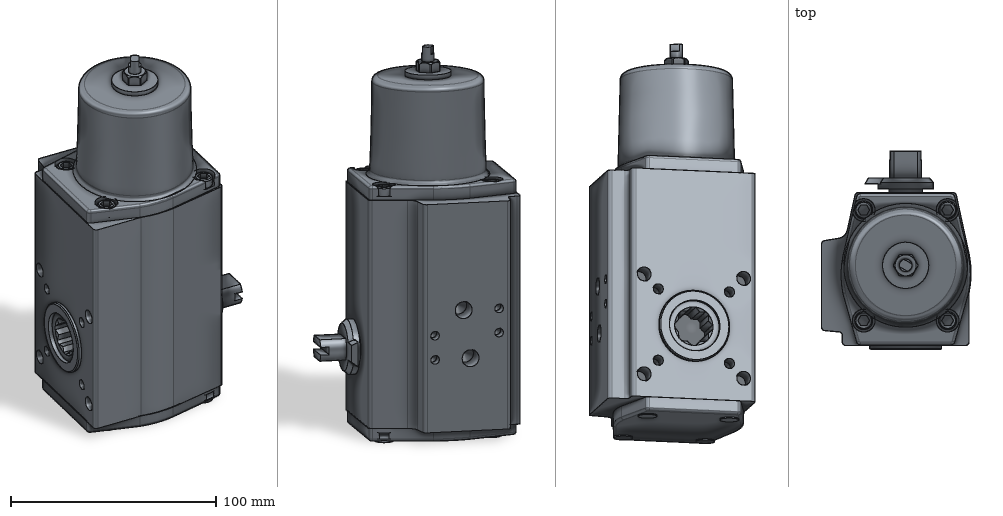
import cadquery as cq
import math


body_bottom = 7.3
body_top = 120.5
bottom_plate_base = 0.5
top_plate_top = 127.5
overall_height = 190.8

body_front = -39.1
body_back = 35.5
body_half_width = 31.0
body_bulge_x = 31.9
back_corner_x = 24.5
bulge_start_y = -13.4
bulge_stop = (31.1, 4.5)
pad_x = -41.0
pad_front_y = -31.7
pad_back_y = 11.8
pad_root_x = -32.8
pad_root_front_y = -32.5
pad_root_back_y = 13.2
front_hollow_middle = (-31.5, -32.8)
front_hollow_end_y = -34.0
back_hollow_middle = (-30.0, 14.5)
back_hollow_end = (-28.5, 17.2)
corner_radius = 2.0

plate_front = -38.7
plate_back = 35.0
plate_corner_half_width = 23.5
plate_bulge_x = 31.5
bulge_y = -4.5
bulge_half_length = 9.2
bulge_end_x = 30.5
plate_edge_radius = 1.3

screw_x = 20.5
screw_y = 26.9
screw_bore_radius = 5.5
screw_bore_depth = 5.2
top_head_radius = 4.4
top_head_drop = 0.8
top_head_chamfer = 0.5
hex_socket_size = 5.7
hex_socket_depth = 2.7
bottom_head_radius = 4.5
bottom_bore_radius = 5.3
bottom_bore_base = 2.0
bottom_bore_top = 5.0

flare_radius = 30.1
flare_height = 2.3
flare_middle = 0.35
cap_base_radius = 28.5
cap_top_radius = 27.3
cap_top = 176.3
cap_edge_radius = 2.9
washer_radius = 11.3
washer_top = 178.5
nut_corner_diameter = 12.2
nut_round_radius = 6.0
nut_chamfer = 0.8
nut_top = 183.5
stem_radius = 3.0
stem_flat_distance = 2.1
stem_flat_height = 3.6
stem_flat_angle = 60

shaft_z = 43.3
boss_radius = 17.5
boss_front = -41.0
boss_chamfer = 0.5
recess_radius = 12.5
recess_depth = 2.1
star_tip_radius = 9.5
star_flat_distance = 7.5
star_depth = 19.0
lead_in_depth = 1.1
shaft_end = 55.5
shaft_radius = 7.8
shaft_flat_half = 5.3
slot_width = 3.8
slot_depth = 4.2
collar_radius = 8.2
disk_radius = 13.5
disk_front = 37.2
disk_rim_back = 40.3
disk_back = 42.5
disk_back_radius = 11.6
pointer_front = 39.7
pointer_tip_x = -19.8
pointer_half_width = 6.1
pointer_taper = 31

drill_point_angle = 118
inner_offset = 17.7
inner_hole_radius = 2.5
inner_hole_depth = 9.5
outer_offset = 24.8
outer_hole_radius = 3.5
outer_hole_depth = 11.5
port_radius = 4.2
port_depth = 11.5
port_spacing = 24.0
upper_port_y = -8.0
lower_port_y = -11.5
side_hole_radius = 2.1
side_hole_depth = 5.7
side_hole_front_y = -25.8
side_hole_back_y = 6.3

overlap = 1.0


def cylinder_y(radius, start, end):
    """Round bar along Y, centred on the drive shaft axis."""
    plane = cq.Workplane("XZ", origin=(0, start, shaft_z))
    return plane.circle(radius).extrude(start - end)


def drill(mouth, direction, radius, depth):
    """Blind drilled hole with a conical end."""
    tip_length = radius / math.tan(math.radians(drill_point_angle / 2))
    axis = cq.Vector(*direction)
    barrel = cq.Solid.makeCylinder(radius, depth, cq.Vector(*mouth), axis)
    tip = cq.Solid.makeCone(radius, 0, tip_length, cq.Vector(*mouth) + axis * depth, axis)
    return barrel.fuse(tip)


def make_body():
    """Constant section with a connection pad on the -X side."""
    outline = (
        cq.Workplane("XY", origin=(0, 0, body_bottom))
        .moveTo(-body_half_width, body_front)
        .lineTo(body_half_width, body_front)
        .lineTo(body_half_width, bulge_start_y)
        .threePointArc((body_bulge_x, bulge_y), bulge_stop)
        .lineTo(back_corner_x, body_back)
        .lineTo(-back_corner_x, body_back)
        .lineTo(*back_hollow_end)
        .threePointArc(back_hollow_middle, (pad_root_x, pad_root_back_y))
        .lineTo(pad_x, pad_back_y)
        .lineTo(pad_x, pad_front_y)
        .lineTo(pad_root_x, pad_root_front_y)
        .threePointArc(front_hollow_middle, (-body_half_width, front_hollow_end_y))
        .close()
    )
    body = outline.extrude(body_top - body_bottom)
    corners = [
        (-body_half_width, body_front),
        (body_half_width, body_front),
        (back_corner_x, body_back),
        (-back_corner_x, body_back),
        (pad_x, pad_back_y),
        (pad_x, pad_front_y),
    ]
    for x, y in corners:
        nearest = cq.selectors.NearestToPointSelector((x, y, (body_top + body_bottom) / 2))
        body = body.edges("|Z").edges(nearest).fillet(corner_radius)
    return body


def make_plate(base, thickness, rounded_face):
    """End plate with sloping sides that swell into an arc."""
    plate = (
        cq.Workplane("XY", origin=(0, 0, base))
        .moveTo(-plate_corner_half_width, plate_front)
        .lineTo(plate_corner_half_width, plate_front)
        .lineTo(bulge_end_x, bulge_y - bulge_half_length)
        .threePointArc((plate_bulge_x, bulge_y), (bulge_end_x, bulge_y + bulge_half_length))
        .lineTo(plate_corner_half_width, plate_back)
        .lineTo(-plate_corner_half_width, plate_back)
        .lineTo(-bulge_end_x, bulge_y + bulge_half_length)
        .threePointArc((-plate_bulge_x, bulge_y), (-bulge_end_x, bulge_y - bulge_half_length))
        .close()
        .extrude(thickness)
    )
    corners = plate.edges("|Z and >Y").add(plate.edges("|Z and <Y"))
    plate = plate.newObject(corners.vals()).fillet(corner_radius)
    return plate.faces(rounded_face).edges().fillet(plate_edge_radius)


def at_screws(base):
    """Workplane with a point at each of the four plate screws."""
    plane = cq.Workplane("XY", origin=(0, 0, base))
    return plane.rect(2 * screw_x, 2 * screw_y, forConstruction=True).vertices()


def make_top_plate():
    """Top plate with four socket-head screws in counterbores."""
    plate = make_plate(body_top, top_plate_top - body_top, ">Z")
    bore_floor = top_plate_top - screw_bore_depth
    head_top = top_plate_top - top_head_drop
    plate = plate.cut(at_screws(bore_floor).circle(screw_bore_radius).extrude(screw_bore_depth))
    heads = at_screws(bore_floor).circle(top_head_radius).extrude(head_top - bore_floor)
    plate = plate.union(heads.faces(">Z").edges().chamfer(top_head_chamfer))
    return plate.cut(at_screws(head_top).polygon(6, hex_socket_size).extrude(-hex_socket_depth))


def make_bottom_plate():
    """Bottom plate with four screw heads; two short bores break out through the sides."""
    plate = make_plate(bottom_plate_base, body_bottom - bottom_plate_base, "<Z")
    bores = (
        cq.Workplane("XY", origin=(0, 0, bottom_bore_base))
        .pushPoints([(-screw_x, screw_y), (screw_x, screw_y)])
        .circle(bottom_bore_radius)
        .extrude(bottom_bore_top - bottom_bore_base)
    )
    heads = at_screws(0).circle(bottom_head_radius).extrude(bottom_bore_base)
    return plate.cut(bores).union(heads)


def make_spring_cap():
    """Tapered cap, washer, nut and adjusting stem."""
    flare_width = flare_radius - cap_base_radius
    cap = (
        cq.Workplane("XZ")
        .moveTo(0, top_plate_top)
        .lineTo(flare_radius, top_plate_top)
        .threePointArc(
            (cap_base_radius + flare_middle * flare_width, top_plate_top + flare_middle * flare_height),
            (cap_base_radius, top_plate_top + flare_height),
        )
        .lineTo(cap_top_radius, cap_top)
        .lineTo(0, cap_top)
        .close()
        .revolve(360, (0, 0), (0, 1))
        .faces(">Z").edges().fillet(cap_edge_radius)
    )
    plane = cq.Workplane("XY", origin=(0, 0, cap_top))
    washer = plane.circle(washer_radius).extrude(washer_top - cap_top)
    nut = plane.polygon(6, nut_corner_diameter).extrude(nut_top - cap_top)
    nut_round = plane.circle(nut_round_radius).extrude(nut_top - cap_top)
    nut = nut.intersect(nut_round.edges().chamfer(nut_chamfer))
    stem = plane.circle(stem_radius).extrude(overall_height - cap_top)
    flats = (
        cq.Workplane("XY", origin=(0, 0, overall_height - stem_flat_height))
        .transformed(rotate=(0, 0, stem_flat_angle))
        .pushPoints([(stem_flat_distance + stem_radius, 0), (-stem_flat_distance - stem_radius, 0)])
        .rect(2 * stem_radius, 4 * stem_radius)
        .extrude(stem_flat_height)
    )
    return cap.union(washer).union(nut).union(stem.cut(flats))


def make_shaft_end():
    """Rear shaft end with two flats, a slot and the position indicator."""
    shaft = cylinder_y(shaft_radius, body_back - overlap, shaft_end)
    length = shaft_end - body_back + overlap
    flat_bar = cq.Workplane("XY").box(2 * shaft_radius, length, 2 * shaft_flat_half)
    shaft = shaft.intersect(flat_bar.translate((0, shaft_end - length / 2, shaft_z)))
    slot = cq.Workplane("XY").box(3 * shaft_radius, 2 * slot_depth, slot_width)
    shaft = shaft.cut(slot.translate((0, shaft_end, shaft_z)))

    collar = cylinder_y(collar_radius, body_back - overlap, disk_front)
    disk = cylinder_y(disk_radius, disk_front, disk_back)
    disk = disk.faces(">Y").chamfer(disk_back - disk_rim_back, disk_radius - disk_back_radius)
    pointer = (
        cq.Workplane("XZ", origin=(pointer_tip_x / 2, pointer_front, shaft_z))
        .rect(-pointer_tip_x, 2 * pointer_half_width)
        .extrude(pointer_front - disk_back, taper=pointer_taper)
    )
    return shaft.union(collar).union(disk).union(pointer)


def make_boss():
    """Round boss around the shaft socket on the front face."""
    boss = cylinder_y(boss_radius, boss_front, body_front + overlap)
    return boss.faces("<Y").edges().chamfer(boss_chamfer)


def star_socket():
    """Recess and socket: two crossed squares with their points trimmed round."""
    floor = boss_front + recess_depth
    socket = cylinder_y(recess_radius, boss_front, floor)
    side = 2 * star_flat_distance
    trim = cylinder_y(star_tip_radius, floor, floor + star_depth)
    for angle in (0, 45):
        square = cq.Workplane("XZ", origin=(0, floor, shaft_z)).transformed(rotate=(0, 0, angle))
        socket = socket.union(square.rect(side, side).extrude(-star_depth).intersect(trim))
    lead_in = (
        cq.Workplane("XZ", origin=(0, floor, shaft_z))
        .circle(star_tip_radius)
        .workplane(offset=-lead_in_depth)
        .circle(star_flat_distance)
        .loft()
    )
    return socket.union(lead_in)


def drill_inner_holes(part):
    """Square pattern of drilled holes around the drive shaft."""
    for x in (-inner_offset, inner_offset):
        for z in (-inner_offset, inner_offset):
            mouth = (x, body_front, shaft_z + z)
            part = part.cut(drill(mouth, (0, 1, 0), inner_hole_radius, inner_hole_depth))
    return part


def outer_holes():
    """Wider square pattern of flat-bottomed holes around the drive shaft."""
    plane = cq.Workplane("XZ", origin=(0, body_front, shaft_z))
    centres = plane.rect(2 * outer_offset, 2 * outer_offset, forConstruction=True).vertices()
    return centres.circle(outer_hole_radius).extrude(-outer_hole_depth)


def drill_pad_holes(part):
    """Two air ports and four fixing holes in the connection pad."""
    upper_z = shaft_z + port_spacing
    middle_z = shaft_z + port_spacing / 2
    ports = [(upper_port_y, upper_z), (lower_port_y, shaft_z)]
    fixings = [
        (side_hole_front_y, upper_z),
        (side_hole_front_y, middle_z),
        (side_hole_back_y, middle_z),
        (side_hole_back_y, shaft_z),
    ]
    for y, z in ports:
        part = part.cut(drill((pad_x, y, z), (1, 0, 0), port_radius, port_depth))
    for y, z in fixings:
        part = part.cut(drill((pad_x, y, z), (1, 0, 0), side_hole_radius, side_hole_depth))
    return part


result = make_body()
for piece in (make_top_plate(), make_bottom_plate(), make_spring_cap(), make_shaft_end(), make_boss()):
    result = result.union(piece)
result = result.cut(star_socket()).cut(outer_holes())
result = drill_inner_holes(result)
result = drill_pad_holes(result)